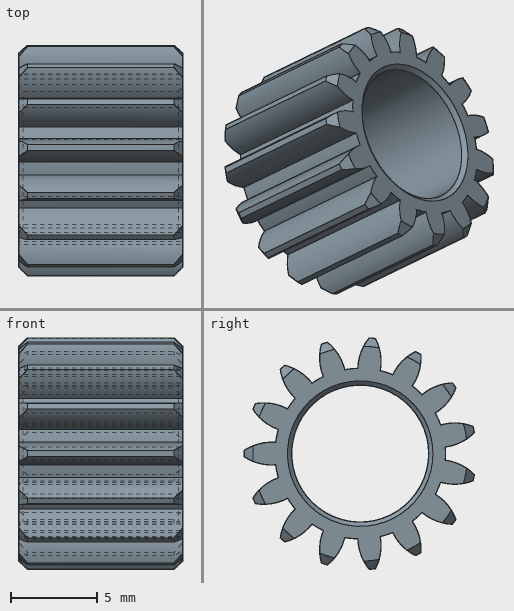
import cadquery as cq
import math

INCH = 25.4

tooth_count = 15
diametral_pitch = 32
module = INCH / diametral_pitch
addendum = module
dedendum = 1.25 * module
pitch_radius = tooth_count * module / 2
tip_radius = pitch_radius + addendum
root_radius = pitch_radius - dedendum
tooth_angle = 360 / tooth_count

tip_half_thickness = 0.18
pitch_half_thickness = 0.56
root_half_thickness = 0.66

face_width = 0.375 * INCH
bore_radius = 0.3125 * INCH / 2
tooth_chamfer = 0.02 * INCH
bore_chamfer = 0.01 * INCH


def point_on_circle(radius, half_thickness):
    """Point at the given radius, offset sideways from the tooth centre line (+X of the sketch)."""
    return math.sqrt(radius**2 - half_thickness**2), half_thickness


def make_tooth():
    """One tooth of full face width, reaching slightly inside the root cylinder."""
    root_x, root_y = point_on_circle(root_radius, root_half_thickness)
    pitch_x, pitch_y = point_on_circle(pitch_radius, pitch_half_thickness)
    tip_x, tip_y = point_on_circle(tip_radius, tip_half_thickness)
    inner_x = (root_radius + bore_radius) / 2
    return (
        cq.Workplane("YZ")
        .moveTo(inner_x, -root_y)
        .lineTo(root_x, -root_y)
        .threePointArc((pitch_x, -pitch_y), (tip_x, -tip_y))
        .threePointArc((tip_radius, 0), (tip_x, tip_y))
        .threePointArc((pitch_x, pitch_y), (root_x, root_y))
        .lineTo(inner_x, root_y)
        .close()
        .extrude(face_width / 2, both=True)
    )


def make_toothed_body():
    """Root cylinder with all teeth; the first tooth points along -Y."""
    body = cq.Workplane("YZ").circle(root_radius).extrude(face_width / 2, both=True)
    tooth = make_tooth()
    for index in range(tooth_count):
        angle = 180 + index * tooth_angle
        body = body.union(tooth.rotate((0, 0, 0), (1, 0, 0), angle))
    return body


def make_chamfered_envelope():
    """Cylinder over the tooth tips with both end edges chamfered."""
    return (
        cq.Workplane("YZ")
        .circle(tip_radius)
        .extrude(face_width / 2, both=True)
        .edges("%CIRCLE")
        .chamfer(tooth_chamfer)
    )


def make_bore_cutter():
    """Revolved cutter for the through bore, flared at 45 degrees at both ends."""
    end_x = face_width / 2
    flare_x = end_x - bore_chamfer
    flare_radius = bore_radius + bore_chamfer
    return (
        cq.Workplane("XY")
        .polyline([
            (-end_x, 0),
            (-end_x, flare_radius),
            (-flare_x, bore_radius),
            (flare_x, bore_radius),
            (end_x, flare_radius),
            (end_x, 0),
        ])
        .close()
        .revolve(360, (0, 0, 0), (1, 0, 0))
    )


result = make_toothed_body().intersect(make_chamfered_envelope()).cut(make_bore_cutter())